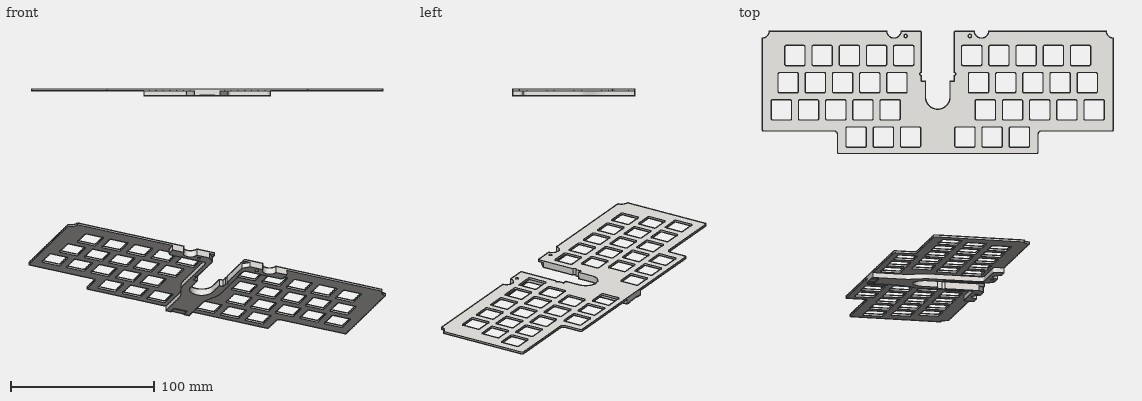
import cadquery as cq

LENGTH = 245.5
WIDTH = 85.5
HEIGHT = 5.0
PLATE_THICKNESS = 1.5
RIB_HEIGHT = HEIGHT - PLATE_THICKNESS
HALF_LENGTH = LENGTH / 2
BACK = WIDTH / 2
FRONT = -WIDTH / 2
PLATE_BOTTOM = -PLATE_THICKNESS
RIB_BOTTOM = -HEIGHT
SIDES = (-1, 1)

FRONT_HALF_LENGTH = 70.1
STEP_Y = -27.0
STEP_FILLET = 2.5
PLATE_CORNER_RADIUS = 1.0

RELIEF_RADIUS = 5.0
RELIEF_CENTER_Y = BACK + 0.25
RELIEF_X = (30.6, HALF_LENGTH)

SCREW_DIAMETER = 2.2
SCREW_X = 22.4
SCREW_Y = 39.4

SLOT_WIDE_HALF = 11.4
SLOT_STEP_Y = 7.8
SLOT_NARROW_HALF = 8.5
SLOT_ARC_CENTER_Y = -3.2
SLOT_NICK_DIAMETER = 2.2
SLOT_NICK_Y = 12.9

KEY_SIZE = 14.0
KEY_CORNER_RADIUS = 0.8
KEY_PITCH = 19.0
KEY_BACK_ROW_Y = 25.75
KEY_ROWS = (
    (1.25 * KEY_PITCH, 5),
    (1.5 * KEY_PITCH, 5),
    (1.75 * KEY_PITCH, 5),
    (KEY_PITCH, 3),
)

BAR_HALF_LENGTH = 44.25
BAR_FRONT_Y = 35.3
BAR_FILLET = 2.4
BAR_SLOT_CHAMFER = 4.3
SPINE_HALF_WIDTH = 14.5
TAB_HALF_WIDTH = 9.0
SHOULDER_BACK_Y = -6.0
SHOULDER_FRONT_Y = -18.0
SHOULDER_BACK_FILLET = 12.5
SHOULDER_FRONT_FILLET = 18.0

RECESS_WIDTH = 10.0
RECESS_DEPTH = 0.5
RECESS_LENGTH = 5.0


def box(x_min, x_max, y_min, y_max, z_min, z_max):
    size = (x_max - x_min, y_max - y_min, z_max - z_min)
    return cq.Workplane("XY").box(*size, centered=False).translate((x_min, y_min, z_min))


def full_height_cylinders(centers, radius):
    base = cq.Workplane("XY").workplane(offset=RIB_BOTTOM)
    return base.pushPoints(centers).circle(radius).extrude(HEIGHT)


def corner_edges(body, x, y):
    reach = 0.5
    around_corner = cq.selectors.BoxSelector(
        (x - reach, y - reach, -HEIGHT), (x + reach, y + reach, HEIGHT)
    )
    return body.edges("|Z").edges(around_corner)


def make_slot():
    wide = box(-SLOT_WIDE_HALF, SLOT_WIDE_HALF, SLOT_STEP_Y, BACK, RIB_BOTTOM, 0)
    narrow = box(
        -SLOT_NARROW_HALF, SLOT_NARROW_HALF, SLOT_ARC_CENTER_Y, SLOT_STEP_Y, RIB_BOTTOM, 0
    )
    round_end = full_height_cylinders([(0, SLOT_ARC_CENTER_Y)], SLOT_NARROW_HALF)
    nick_centers = [(side * SLOT_WIDE_HALF, SLOT_NICK_Y) for side in SIDES]
    nicks = full_height_cylinders(nick_centers, SLOT_NICK_DIAMETER / 2)
    return wide.union(narrow).union(round_end).union(nicks)


def make_plate(slot):
    wide = box(-HALF_LENGTH, HALF_LENGTH, STEP_Y, BACK, PLATE_BOTTOM, 0)
    front = box(-FRONT_HALF_LENGTH, FRONT_HALF_LENGTH, FRONT, STEP_Y, PLATE_BOTTOM, 0)
    plate = wide.union(front).cut(slot)
    rounded_corners = (
        (FRONT_HALF_LENGTH, STEP_Y, STEP_FILLET),
        (FRONT_HALF_LENGTH, FRONT, PLATE_CORNER_RADIUS),
        (HALF_LENGTH, STEP_Y, PLATE_CORNER_RADIUS),
        (SLOT_WIDE_HALF, BACK, PLATE_CORNER_RADIUS),
    )
    for x, y, radius in rounded_corners:
        for side in SIDES:
            plate = corner_edges(plate, side * x, y).fillet(radius)
    return plate


def make_rib(slot):
    outline = [
        (0, BACK),
        (BAR_HALF_LENGTH, BACK),
        (BAR_HALF_LENGTH, BAR_FRONT_Y),
        (SPINE_HALF_WIDTH, BAR_FRONT_Y),
        (SPINE_HALF_WIDTH, SHOULDER_BACK_Y),
        (TAB_HALF_WIDTH, SHOULDER_FRONT_Y),
        (TAB_HALF_WIDTH, FRONT),
        (0, FRONT),
    ]
    base = cq.Workplane("XY").workplane(offset=RIB_BOTTOM)
    half = base.polyline(outline).close().extrude(RIB_HEIGHT)
    rounded_corners = (
        (BAR_HALF_LENGTH, BAR_FRONT_Y, BAR_FILLET),
        (SPINE_HALF_WIDTH, BAR_FRONT_Y, BAR_FILLET),
        (SPINE_HALF_WIDTH, SHOULDER_BACK_Y, SHOULDER_BACK_FILLET),
        (TAB_HALF_WIDTH, SHOULDER_FRONT_Y, SHOULDER_FRONT_FILLET),
    )
    for x, y, radius in rounded_corners:
        half = corner_edges(half, x, y).fillet(radius)
    rib = half.union(half.mirror("YZ")).cut(slot)
    for side in SIDES:
        rib = corner_edges(rib, side * SLOT_WIDE_HALF, BACK).chamfer(BAR_SLOT_CHAMFER)
    recess = box(
        -RECESS_WIDTH / 2, RECESS_WIDTH / 2,
        FRONT, FRONT + RECESS_LENGTH,
        RIB_BOTTOM, RIB_BOTTOM + RECESS_DEPTH,
    )
    return rib.cut(recess)


def make_key_openings():
    centers = []
    for row, (first_x, keys_per_side) in enumerate(KEY_ROWS):
        y = KEY_BACK_ROW_Y - row * KEY_PITCH
        for column in range(keys_per_side):
            x = first_x + column * KEY_PITCH
            centers += [(side * x, y) for side in SIDES]
    base = cq.Workplane("XY").workplane(offset=RIB_BOTTOM)
    openings = base.pushPoints(centers).rect(KEY_SIZE, KEY_SIZE).extrude(HEIGHT)
    return openings.edges("|Z").fillet(KEY_CORNER_RADIUS)


def make_back_reliefs():
    centers = [(side * x, RELIEF_CENTER_Y) for x in RELIEF_X for side in SIDES]
    return full_height_cylinders(centers, RELIEF_RADIUS)


def make_screw_holes():
    centers = [(side * SCREW_X, SCREW_Y) for side in SIDES]
    return full_height_cylinders(centers, SCREW_DIAMETER / 2)


slot = make_slot()
body = make_plate(slot).union(make_rib(slot))
result = body.cut(make_key_openings()).cut(make_back_reliefs()).cut(make_screw_holes())